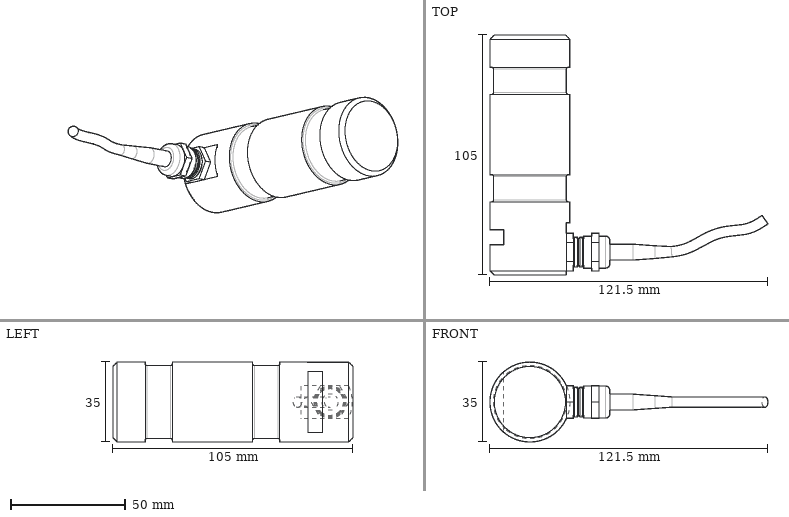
import cadquery as cq
import math

HOUSING_LENGTH = 105.0
HOUSING_RADIUS = 35.0 / 2
GROOVE_RADIUS = 32.0 / 2
GROOVE_WIDTH = 11.8
GROOVE_STARTS = (32.1, 79.0)
GROOVE_FILLET = 0.7
END_CHAMFER = 2.0

SLOT_START = 13.4
SLOT_WIDTH = 6.5
SLOT_DEPTH = 6.1

FLAT_X = GROOVE_RADIUS
FLAT_LENGTH = 22.9

GLAND_Y = 10.1
HEX_ACROSS_FLATS = 14.3
HEX_ACROSS_CORNERS = HEX_ACROSS_FLATS / math.cos(math.pi / 6)
BASE_HEX_LENGTH = 3.0
RIB_RADIUS = 6.6
NECK_RADIUS = 5.8
BASE_RIB_START = 3.4
BASE_RIB_LENGTH = 1.3
CAP_RIB_START = 5.3
CAP_RIB_LENGTH = 1.6
CAP_RIB_CHAMFER = 0.5
CAP_START = 7.5
CAP_RADIUS = 14.1 / 2
CAP_HEX_START = 11.0
CAP_HEX_LENGTH = 3.3
GLAND_LENGTH = 19.0
CAP_FILLET = 2.0

SLEEVE_RADIUS = 3.5
CABLE_RADIUS = 2.3
SLEEVE_END_X = 45.1
CONE_END_X = 54.6
TAPER_END_X = 61.9
TAPER_RISE = 0.18
TAPER_END_ANGLE = math.radians(5)
CABLE_END_ANGLE = math.radians(35)
CABLE_WAYPOINTS = ((69.6, 2.1), (77.7, 6.3), (85.2, 8.9), (93.8, 10.0))
CABLE_END_RISE = 14.2
CABLE_END_X = 121.5 - HOUSING_RADIUS - CABLE_RADIUS * math.sin(CABLE_END_ANGLE)


def cross_section(x, rise=0, angle=0):
    """Workplane at a point of the gland or cable, facing along a direction in the XY plane."""
    return cq.Workplane(
        cq.Plane(
            origin=(x, GLAND_Y + rise, 0),
            xDir=(math.sin(angle), -math.cos(angle), 0),
            normal=(math.cos(angle), math.sin(angle), 0),
        )
    )


def disc_along_x(x, radius, length):
    """Cylinder on the gland axis, running towards +X from x."""
    return cross_section(x).circle(radius).extrude(length)


def hexagon_along_x(x, length):
    """Hexagonal prism on the gland axis with corners towards +Y and -Y."""
    return cross_section(x).polygon(6, HEX_ACROSS_CORNERS).extrude(length)


def cut_groove(body, start):
    """Cut a ring groove with filleted floor corners."""
    cutter = (
        cq.Workplane("XZ", origin=(0, start, 0))
        .circle(2 * HOUSING_RADIUS)
        .extrude(-GROOVE_WIDTH)
    )
    core = (
        cq.Workplane("XY", origin=(0, start, 0))
        .lineTo(GROOVE_RADIUS + GROOVE_FILLET, 0)
        .radiusArc((GROOVE_RADIUS, GROOVE_FILLET), GROOVE_FILLET)
        .lineTo(GROOVE_RADIUS, GROOVE_WIDTH - GROOVE_FILLET)
        .radiusArc((GROOVE_RADIUS + GROOVE_FILLET, GROOVE_WIDTH), GROOVE_FILLET)
        .lineTo(0, GROOVE_WIDTH)
        .close()
        .revolve(360, (0, 0, 0), (0, 1, 0))
    )
    return body.cut(cutter.cut(core))


def make_housing():
    body = cq.Workplane("XZ").circle(HOUSING_RADIUS).extrude(-HOUSING_LENGTH)
    body = body.faces("<Y or >Y").chamfer(END_CHAMFER)
    for start in GROOVE_STARTS:
        body = cut_groove(body, start)
    full_height = 2 * HOUSING_RADIUS
    from_corner = (False, False, True)
    slot = cq.Workplane("XY").box(SLOT_DEPTH, SLOT_WIDTH, full_height, centered=from_corner)
    flat = cq.Workplane("XY").box(HOUSING_RADIUS, FLAT_LENGTH, full_height, centered=from_corner)
    body = body.cut(slot.translate((-HOUSING_RADIUS, SLOT_START, 0)))
    return body.cut(flat.translate((FLAT_X, 0, 0)))


def make_gland():
    body = disc_along_x(FLAT_X + CAP_START, CAP_RADIUS, GLAND_LENGTH - CAP_START)
    body = body.faces(">X").edges().fillet(CAP_FILLET)
    body = body.union(disc_along_x(FLAT_X, NECK_RADIUS, CAP_START))
    base_rib = disc_along_x(FLAT_X + BASE_RIB_START, RIB_RADIUS, BASE_RIB_LENGTH)
    cap_rib = disc_along_x(FLAT_X + CAP_RIB_START, RIB_RADIUS, CAP_RIB_LENGTH)
    cap_rib = cap_rib.faces("<X").chamfer(CAP_RIB_CHAMFER)
    body = body.union(base_rib).union(cap_rib)
    body = body.union(hexagon_along_x(FLAT_X, BASE_HEX_LENGTH))
    return body.union(hexagon_along_x(FLAT_X + CAP_HEX_START, CAP_HEX_LENGTH))


def make_cable():
    sleeve_start_x = FLAT_X + GLAND_LENGTH
    taper_fraction = (CONE_END_X - SLEEVE_END_X) / (TAPER_END_X - SLEEVE_END_X)
    cone_end_radius = SLEEVE_RADIUS + taper_fraction * (CABLE_RADIUS - SLEEVE_RADIUS)
    sleeve_end = cross_section(SLEEVE_END_X).circle(SLEEVE_RADIUS).val()
    cone_end = cross_section(CONE_END_X).circle(cone_end_radius).val()
    taper_end_plane = cross_section(TAPER_END_X, TAPER_RISE, TAPER_END_ANGLE)
    taper_end = taper_end_plane.circle(CABLE_RADIUS).val()

    sleeve = disc_along_x(sleeve_start_x, SLEEVE_RADIUS, SLEEVE_END_X - sleeve_start_x)
    cone = cq.Solid.makeLoft([sleeve_end, cone_end], True)
    bent_taper = cq.Solid.makeLoft([cone_end, taper_end], True)

    rises = ((TAPER_END_X, TAPER_RISE), *CABLE_WAYPOINTS, (CABLE_END_X, CABLE_END_RISE))
    path = cq.Edge.makeSpline(
        [cq.Vector(x, GLAND_Y + rise, 0) for x, rise in rises],
        tangents=[
            cq.Vector(math.cos(angle), math.sin(angle), 0)
            for angle in (TAPER_END_ANGLE, CABLE_END_ANGLE)
        ],
    )
    free_length = cq.Solid.sweep(taper_end, [], cq.Wire.assembleEdges([path]))
    return sleeve.union(cq.Workplane(cone)).union(cq.Workplane(bent_taper)).union(cq.Workplane(free_length))


housing = make_housing()
gland = make_gland()
cable = make_cable()
result = cq.Compound.makeCompound([housing.val(), gland.val(), cable.val()])